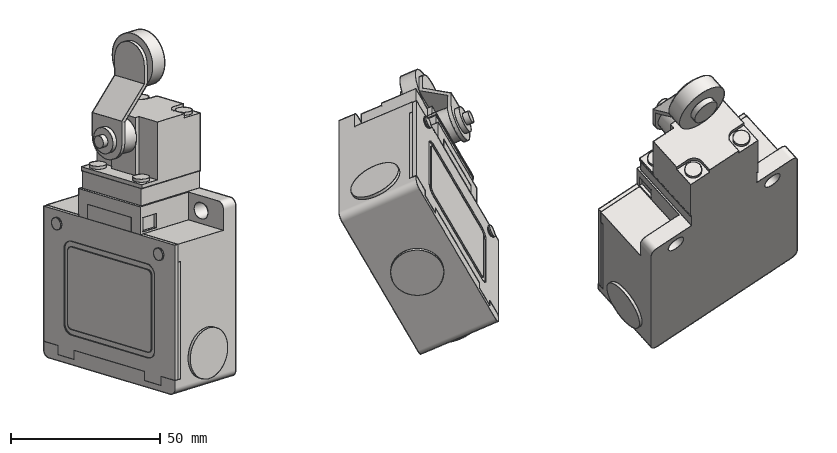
import cadquery as cq
import math


overall_height = 119.0

housing_width = 61.9
housing_bottom = 1.1
housing_top = 63.8
housing_reach = 29.0
corner_radius = 2.5
ledge_z = 54.0
ear_reach = 6.0
center_block_width = 29.0

slot_spacing = 40.8
slot_z = 58.5
slot_length = 6.4
slot_height = 5.6

plug_radius = 8.9
plug_thickness = 1.1
plug_reach = 13.9
side_plug_z = 12.9

parting_step = 0.06
cover_back_reach = 27.6
cover_bottom = 6.4
tab_spacing = 40.8
tab_width = 7.6
tab_bottom = 3.2
gasket_back_reach = 26.4
gasket_top = 47.7

groove_depth = 0.5
groove_center_z = 28.0
groove_outer = (42.7, 33.0, 3.6)
groove_inner = (39.2, 29.0, 1.7)

cover_screw_spacing = 48.0
cover_screw_z = 49.5
cover_screw_radius = 2.1
cover_screw_neck_radius = 1.7
cover_screw_height = 1.1
cover_screw_head = 0.6

front_panel_width = 20.5
front_panel_top = 59.1
side_window_depth = 1.1
side_window_bottom = 54.7
side_window_top = 59.7
side_window_reaches = (21.3, 27.6)

head_width = 28.5
head_top = 91.6
head_reach = 20.5
flange_bottom = 69.9
flange_top = 71.3
flange_reach = 28.0
neck_width = 27.7
neck_reach = 27.8
boss_width = 11.2
boss_reach = 22.3

head_screw_spacing = 20.3
head_screw_reaches = (3.8, 24.2)
head_screw_radius = 2.9
head_screw_height = 1.1
notch_depth = 1.4
notch_reach = 7.6
notch_inner_x = 6.2
notch_radius = 3.3

shaft_z = 84.5
hub_back_radius = 6.2
hub_front_radius = 5.8
washer_radius = 4.5
washer_reach = 31.9
pin_radius = 2.1
pin_reach = 34.0

lever_width = 13.9
lever_thickness = 1.4
lever_front_reach = 30.1
lever_upper_reach = 19.4
lower_bend_z = 92.5
bend_angle = 45.0

roller_radius = 9.5
roller_z = overall_height - roller_radius
roller_back_reach = 12.1
axle_back_reach = 10.0
axle_radius = 4.8


def block(width, reaches, heights, x=0):
    """Box centered on x, between two reaches and two heights."""
    depth = reaches[1] - reaches[0]
    height = heights[1] - heights[0]
    return cq.Workplane("XY", origin=(x, -sum(reaches) / 2, heights[0])).box(
        width, depth, height, centered=(True, True, False)
    )


def front_plane(x, reach, z):
    """Vertical work plane whose normal points forward."""
    return cq.Workplane("XZ", origin=(x, -reach, z))


def disc(x, z, radius, reaches):
    """Cylinder along Y between two reaches."""
    return front_plane(x, reaches[0], z).circle(radius).extrude(reaches[1] - reaches[0])


def sides(spacing):
    """X positions of a mirrored pair."""
    return (-spacing / 2, spacing / 2)


def housing():
    body = block(housing_width, (0, housing_reach), (housing_bottom, housing_top))
    body = body.edges("|Y").fillet(corner_radius)
    ledge_width = (housing_width - center_block_width) / 2
    for x in sides(housing_width - ledge_width):
        body = body.cut(block(ledge_width, (ear_reach, housing_reach), (ledge_z, housing_top), x))
    slots = front_plane(0, 0, slot_z).pushPoints([(x, 0) for x in sides(slot_spacing)])
    return body.cut(slots.slot2D(slot_length, slot_height).extrude(ear_reach))


def cover_partings():
    """Material removed to leave the parting lines around the cover and its gasket."""
    front = (housing_reach - parting_step, housing_reach)

    cuts = block(housing_width, front, (housing_bottom, cover_bottom))
    for x in sides(tab_spacing):
        cuts = cuts.cut(block(tab_width, front, (tab_bottom, cover_bottom), x))

    cuts = cuts.union(block(center_block_width, front, (ledge_z, housing_top)))
    panel_reaches = (housing_reach - 2 * parting_step, housing_reach)
    cuts = cuts.union(block(front_panel_width, panel_reaches, (ledge_z, front_panel_top)))

    cover_reaches = (cover_back_reach, housing_reach)
    gasket_reaches = (gasket_back_reach, cover_back_reach)
    cover_cut = 2 * (2 * parting_step)
    gasket_cut = 2 * parting_step
    for x in sides(housing_width):
        cuts = cuts.union(block(cover_cut, cover_reaches, (cover_bottom, ledge_z), x))
        cuts = cuts.union(block(gasket_cut, gasket_reaches, (cover_bottom, gasket_top), x))

    ledge_width = (housing_width - center_block_width) / 2
    for x in sides(housing_width - ledge_width):
        cuts = cuts.union(block(ledge_width, cover_reaches, (ledge_z - parting_step, ledge_z), x))
    return cuts


def label_groove():
    def rounded_field(size):
        width, height, radius = size
        field = front_plane(0, housing_reach - groove_depth, groove_center_z)
        return field.rect(width, height).extrude(groove_depth).edges("|Y").fillet(radius)

    return rounded_field(groove_outer).cut(rounded_field(groove_inner))


def side_windows():
    heights = (side_window_bottom, side_window_top)
    left_x, right_x = sides(center_block_width - side_window_depth)
    left = block(side_window_depth, side_window_reaches, heights, left_x)
    return left.union(block(side_window_depth, side_window_reaches, heights, right_x))


def plugs():
    side_length = housing_width + 2 * plug_thickness
    side_pair = (
        cq.Workplane("YZ", origin=(-side_length / 2, -plug_reach, side_plug_z))
        .circle(plug_radius)
        .extrude(side_length)
    )
    bottom = cq.Workplane("XY", origin=(0, -plug_reach, 0)).circle(plug_radius).extrude(side_plug_z)
    return side_pair.union(bottom)


def cover_screw(x):
    top = housing_reach + cover_screw_height
    neck = disc(x, cover_screw_z, cover_screw_neck_radius, (cover_back_reach, top))
    return neck.union(disc(x, cover_screw_z, cover_screw_radius, (top - cover_screw_head, top)))


def head_screw(x, reach, seat_z):
    return (
        cq.Workplane("XY", origin=(x, -reach, seat_z))
        .circle(head_screw_radius)
        .extrude(head_screw_height)
    )


def operating_head():
    head = block(neck_width, (0, neck_reach), (housing_top, flange_bottom))
    head = head.union(block(head_width, (0, flange_reach), (flange_bottom, flange_top)))
    head = head.union(block(head_width, (0, head_reach), (flange_top, head_top)))
    head = head.union(block(boss_width, (head_reach, boss_reach), (flange_top, head_top)))

    notch_z = head_top - notch_depth
    notch_width = head_width / 2 - notch_inner_x
    left_x, right_x = sides(head_width - notch_width)
    for x, inner_edge in ((left_x, ">X and <Y"), (right_x, "<X and <Y")):
        notch = block(notch_width, (0, notch_reach), (notch_z, head_top), x)
        head = head.cut(notch.edges("|Z").edges(inner_edge).fillet(notch_radius))

    rear_reach, front_reach = head_screw_reaches
    for x in sides(head_screw_spacing):
        head = head.union(head_screw(x, rear_reach, notch_z))
        head = head.union(head_screw(x, front_reach, flange_top))
    return head


def lever_shaft():
    lever_back_reach = lever_front_reach - lever_thickness
    hub = (
        front_plane(0, boss_reach, shaft_z)
        .circle(hub_back_radius)
        .workplane(offset=lever_back_reach - boss_reach)
        .circle(hub_front_radius)
        .loft()
    )
    washer = disc(0, shaft_z, washer_radius, (lever_back_reach, washer_reach))
    pin = disc(0, shaft_z, pin_radius, (lever_back_reach, pin_reach))
    return hub.union(washer).union(pin)


def lever():
    """Double-bent strip with both ends rounded."""
    end_radius = lever_width / 2
    bottom_z = shaft_z - end_radius
    top_z = roller_z + end_radius
    setback = lever_front_reach - lever_upper_reach
    upper_bend_z = lower_bend_z + setback / math.tan(math.radians(bend_angle))
    back_bend_drop = lever_thickness * math.tan(math.radians(bend_angle / 2))
    lower_back = lever_front_reach - lever_thickness
    upper_back = lever_upper_reach - lever_thickness

    profile = [
        (-lever_front_reach, bottom_z),
        (-lever_front_reach, lower_bend_z),
        (-lever_upper_reach, upper_bend_z),
        (-lever_upper_reach, top_z),
        (-upper_back, top_z),
        (-upper_back, upper_bend_z - back_bend_drop),
        (-lower_back, lower_bend_z - back_bend_drop),
        (-lower_back, bottom_z),
    ]
    strip = cq.Workplane("YZ").polyline(profile).close().extrude(end_radius, both=True)
    rounded_outline = (
        front_plane(0, 0, (shaft_z + roller_z) / 2)
        .slot2D(top_z - bottom_z, lever_width, 90)
        .extrude(pin_reach)
    )
    return strip.intersect(rounded_outline)


def roller():
    front_reach = lever_upper_reach - lever_thickness
    wheel = disc(0, roller_z, roller_radius, (roller_back_reach, front_reach))
    return wheel.union(disc(0, roller_z, axle_radius, (axle_back_reach, front_reach)))


switch = housing().cut(cover_partings()).cut(label_groove()).cut(side_windows())
switch = switch.union(plugs())
for screw_x in sides(cover_screw_spacing):
    switch = switch.union(cover_screw(screw_x))
switch = switch.union(operating_head()).union(lever_shaft()).union(lever())
result = switch.union(roller())